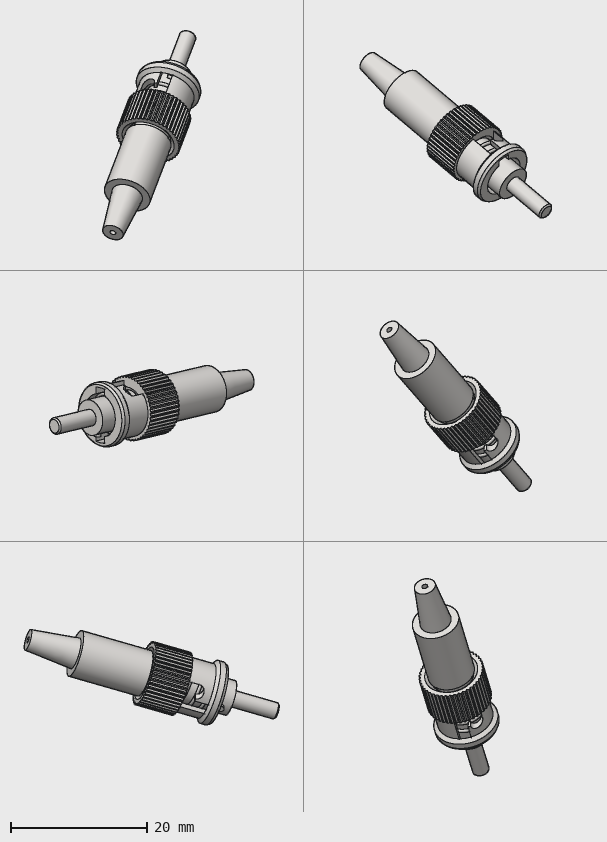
import cadquery as cq
total_length = 39.12

boot_tip_radius = 1.585
boot_base_radius = 2.35
boot_length = 7.45
boot_hole_radius = 0.43
sleeve_radius = 3.5
sleeve_front_y = 18.3
guide_radius = 2.65
guide_front_y = 31.8
ferrule_radius = 1.25
ferrule_chamfer = 0.25

key_radius = 0.5
key_y = 30.28
key_reach = 3.1
key_root = 2.35

nut_front_y = 29.77
nut_rear_y = 18.3
knurl_front_y = 24.05
nut_rim_radius = 4.83
nut_barrel_radius = 4.2
nut_bore_radius = 3.2
rim_rear_y = 28.45
rim_cone_end_y = 27.97
rim_chamfer_radial = 0.25
rim_chamfer_axial = 0.43
countersink_radius = 4.0
countersink_depth = 0.85

groove_count = 45
groove_depth = 0.2
groove_width = 0.5

slot_count = 2
slot_width = 1.8
detent_x = -2.2
detent_y = 25.85

wire_radius = 0.255
coil_radius = (guide_radius + nut_bore_radius) / 2
coil_pitch = 1.65
coil_front_y = 28.48
coil_turns = 4.25


def turned(profile):
    """Solid of revolution about Y from (radius, y) points."""
    return cq.Workplane("XY").polyline(profile).close().revolve(360, (0, 0, 0), (0, 1, 0))


def rod_along_y(radius, start_y, end_y):
    return cq.Workplane("XZ", origin=(0, start_y, 0)).circle(radius).extrude(start_y - end_y)


def make_core():
    core = turned([
        (0, 0),
        (boot_tip_radius, 0),
        (boot_base_radius, boot_length),
        (sleeve_radius, boot_length),
        (sleeve_radius, sleeve_front_y),
        (guide_radius, sleeve_front_y),
        (guide_radius, guide_front_y),
        (ferrule_radius, guide_front_y),
        (ferrule_radius, total_length - ferrule_chamfer),
        (ferrule_radius - ferrule_chamfer, total_length),
        (0, total_length),
    ])
    key = (
        cq.Workplane("XY", origin=(0, key_y, -key_reach))
        .circle(key_radius)
        .extrude(key_reach - key_root)
    )
    cable_hole = rod_along_y(boot_hole_radius, 0, boot_length)
    return core.union(key).cut(cable_hole)


def make_slot():
    """Cutter for one slot, cut straight down: entry, crossing channel and rounded detent."""
    half_width = slot_width / 2
    outline = (
        cq.Workplane("XY")
        .moveTo(half_width, nut_front_y)
        .lineTo(-half_width, nut_front_y)
        .lineTo(-half_width, detent_y)
        .lineTo(detent_x + half_width, detent_y)
        .threePointArc((detent_x, detent_y + half_width), (detent_x - half_width, detent_y))
        .lineTo(detent_x - half_width, knurl_front_y)
        .lineTo(half_width, knurl_front_y)
        .close()
        .extrude(nut_barrel_radius)
    )
    return outline.intersect(rod_along_y(nut_barrel_radius, knurl_front_y, nut_front_y))


def make_knurl_groove():
    """V-shaped cutter along the knurl, pointing inward from the +X side."""
    return (
        cq.Workplane("XZ", origin=(0, nut_rear_y, 0))
        .moveTo(nut_rim_radius, -groove_width / 2)
        .lineTo(nut_rim_radius - groove_depth, 0)
        .lineTo(nut_rim_radius, groove_width / 2)
        .close()
        .extrude(nut_rear_y - knurl_front_y)
    )


def make_nut():
    nut = turned([
        (nut_bore_radius, nut_front_y),
        (nut_rim_radius - rim_chamfer_radial, nut_front_y),
        (nut_rim_radius, nut_front_y - rim_chamfer_axial),
        (nut_rim_radius, rim_rear_y),
        (nut_barrel_radius, rim_cone_end_y),
        (nut_barrel_radius, knurl_front_y),
        (nut_rim_radius, knurl_front_y),
        (nut_rim_radius, nut_rear_y),
        (countersink_radius, nut_rear_y),
        (nut_bore_radius, nut_rear_y + countersink_depth),
    ])
    groove = make_knurl_groove()
    groove_pitch = 360 / groove_count
    for i in range(groove_count):
        nut = nut.cut(groove.rotate((0, 0, 0), (0, 1, 0), (i + 0.5) * groove_pitch))
    slot = make_slot()
    for i in range(slot_count):
        nut = nut.cut(slot.rotate((0, 0, 0), (0, 1, 0), i * 360 / slot_count))
    return nut


def make_spring():
    height = coil_turns * coil_pitch
    path = cq.Wire.makeHelix(coil_pitch, height, coil_radius, lefthand=True)
    section = cq.Workplane("XZ").center(coil_radius, 0).circle(wire_radius)
    spring = section.sweep(cq.Workplane(path), isFrenet=True)
    return (
        spring.rotate((0, 0, 0), (1, 0, 0), -90)
        .translate((0, coil_front_y - height, 0))
    )


core = make_core()
nut = make_nut()
spring = make_spring()

result = cq.Compound.makeCompound([core.val(), nut.val(), spring.val()])